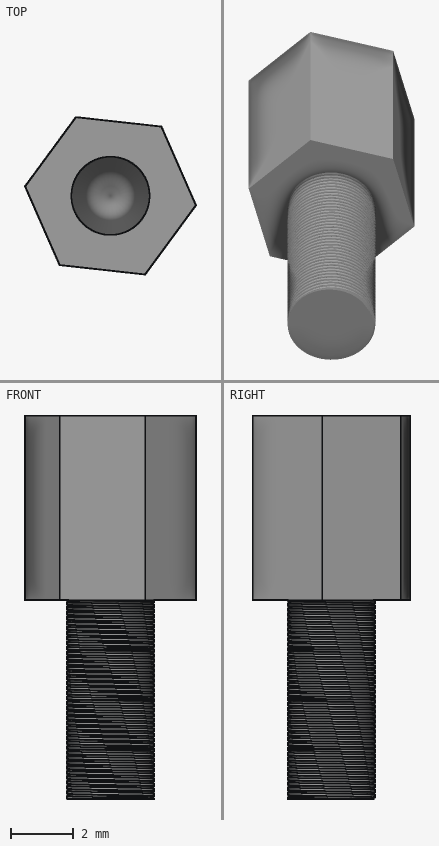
import cadquery as cq
import math

total_height = 12.24
stud_length = 6.35
head_height = total_height - stud_length
hex_across_flats = 4.757
hex_corner_diameter = hex_across_flats / math.cos(math.radians(30))
hex_rotation = -6.3

hole_diameter = 2.5
hole_straight_depth = 4.5
drill_point_angle = 118
hole_radius = hole_diameter / 2
drill_point_depth = hole_radius / math.tan(math.radians(drill_point_angle / 2))

thread_turns = 40
stud_segments = 4
thread_pitch = stud_length / thread_turns
thread_major_radius = 1.4
thread_groove_width = thread_pitch / 2
thread_depth = 0.1
thread_root_radius = thread_major_radius - thread_depth
flank_steps = 4
thread_crest_direction = -54


def make_head():
    blank = (
        cq.Workplane("XY", origin=(0, 0, stud_length))
        .polygon(6, hex_corner_diameter)
        .extrude(head_height)
        .rotate((0, 0, 0), (0, 0, 1), hex_rotation)
    )
    straight_bottom = total_height - hole_straight_depth
    drill = (
        cq.Workplane("XZ")
        .moveTo(0, total_height)
        .lineTo(hole_radius, total_height)
        .lineTo(hole_radius, straight_bottom)
        .lineTo(0, straight_bottom - drill_point_depth)
        .close()
        .revolve(360, (0, 0, 0), (0, 1, 0))
    )
    return blank.cut(drill)


def polar_point(radius, angle):
    """Point on the XY plane; the angle is in degrees."""
    return (radius * math.cos(math.radians(angle)), radius * math.sin(math.radians(angle)))


def flank_points(start, end):
    """Points from start to end, both (radius, angle), with the radius linear in the angle."""
    points = []
    for step in range(1, flank_steps + 1):
        fraction = step / flank_steps
        radius = start[0] + (end[0] - start[0]) * fraction
        angle = start[1] + (end[1] - start[1]) * fraction
        points.append(polar_point(radius, angle))
    return points


def make_stud_segments():
    """Threaded stud: the cross-section of a single-start thread, twisted along Z."""
    crest_end = 180 * (1 - thread_groove_width / thread_pitch)
    crest_start = -crest_end
    section = (
        cq.Workplane("XY")
        .moveTo(*polar_point(thread_major_radius, crest_start))
        .threePointArc(
            polar_point(thread_major_radius, 0),
            polar_point(thread_major_radius, crest_end),
        )
        .spline(
            flank_points((thread_major_radius, crest_end), (thread_root_radius, 180)),
            includeCurrent=True,
        )
        .spline(
            flank_points((thread_root_radius, -180), (thread_major_radius, crest_start)),
            includeCurrent=True,
        )
        .close()
    )
    segment_height = stud_length / stud_segments
    segment_twist = -360 * thread_turns / stud_segments
    segment = section.twistExtrude(segment_height, segment_twist)
    segment = segment.rotate((0, 0, 0), (0, 0, 1), thread_crest_direction)
    segments = [segment.translate((0, 0, index * segment_height)) for index in range(stud_segments)]
    return [piece.val() for piece in segments]


def join(first, others):
    """Fuse all the shapes in one step."""
    return cq.Workplane(first.fuse(*others))


result = join(make_head().val(), make_stud_segments())